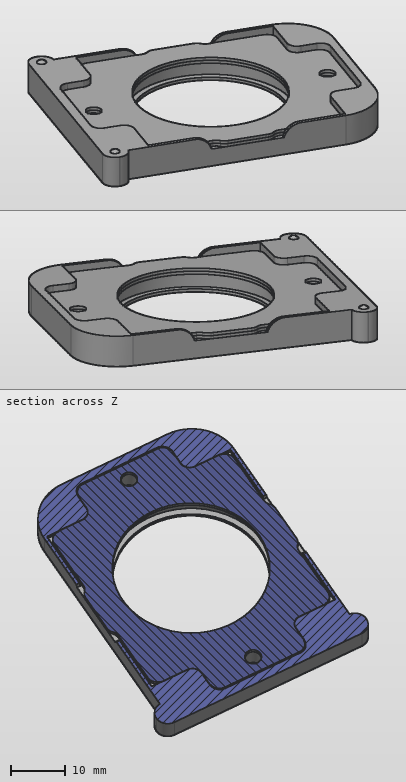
import cadquery as cq


half_width = 20.15
north_end = 28.1
south_end = -28.35
housing_height = 6.0
corner_radius = 9.0

bar_half_width = 22.3
bar_length = 4.95
ear_radius = 2.4
bar_y = south_end + bar_length / 2
dome_x = 19.8
overall_height = 6.45
dome_height = overall_height - housing_height
dome_base_radius = 0.9

floor_z = 3.5
core_half_width = 19.4
core_half_length = 19.25
lobe_half_width = 9.95
lobe_half_length = 26.35
lobe_radius = 2.0

notch_radius = 3.5
notch_half_length_top = 10.4

margin = 0.55

aperture_diameter = 28.9
bore_diameter = 31.4
lip_height = 0.6
screw_hole_diameter = 3.0
screw_hole_y = 22.85

plate_count = 2
stack_height = 1.2
plate_thickness = stack_height / plate_count
plate_half_width = 19.15
plate_lobe_half_length = 26.2
plate_corner_radius = 2.0
tab_half_length_tip = 3.95
tab_half_length_root = 6.5


def box(x_half, y_half, height):
    """Box centred on the aperture axis and standing on z = 0."""
    return cq.Workplane("XY").box(2 * x_half, 2 * y_half, height, centered=(True, True, False))


def cross(core_x, core_y, lobe_y, height):
    """Prism with a wide core and two rounded lobes."""
    lobes = box(lobe_half_width, lobe_y, height).edges("|Z").fillet(lobe_radius)
    inner_corners = cq.selectors.BoxSelector(
        (-lobe_half_width - margin, -core_y - margin, 0),
        (lobe_half_width + margin, core_y + margin, height),
    )
    outline = box(core_x, core_y, height).union(lobes)
    return outline.edges("|Z").edges(inner_corners).fillet(lobe_radius)


def screw_holes(height):
    return (
        cq.Workplane("XY")
        .pushPoints([(0, screw_hole_y), (0, -screw_hole_y)])
        .circle(screw_hole_diameter / 2)
        .extrude(height)
    )


def cylinder(diameter, height):
    return cq.Workplane("XY").circle(diameter / 2).extrude(height)


def finger_notch():
    """Trough along X whose ends are convex arcs tangent to the housing top."""
    arc_center_z = housing_height - notch_radius
    cutter_half_width = half_width + margin
    trough = box(cutter_half_width, notch_half_length_top, housing_height - floor_z)
    trough = trough.translate((0, 0, floor_z))
    for side in (-1, 1):
        rounded_end = (
            cq.Workplane("YZ")
            .center(side * notch_half_length_top, arc_center_z)
            .circle(notch_radius)
            .extrude(cutter_half_width, both=True)
        )
        trough = trough.cut(rounded_end)
    return trough


def dome(x):
    """Sphere sunk into an ear so that only its cap stands proud."""
    sphere_radius = (dome_base_radius**2 + dome_height**2) / (2 * dome_height)
    sphere = cq.Workplane("XY").sphere(sphere_radius)
    return sphere.translate((x, bar_y, overall_height - sphere_radius))


def make_housing():
    block_half_length = (north_end - bar_y) / 2
    block = box(half_width, block_half_length, housing_height)
    block = block.edges("|Z and >Y").fillet(corner_radius)
    block = block.translate((0, bar_y + block_half_length, 0))
    bar = box(bar_half_width, bar_length / 2, housing_height).edges("|Z").fillet(ear_radius)
    body = block.union(bar.translate((0, bar_y, 0)))
    for x in (-dome_x, dome_x):
        body = body.union(dome(x))
    pocket = cross(core_half_width, core_half_length, lobe_half_length, housing_height)
    body = body.cut(pocket.translate((0, 0, floor_z)))
    body = body.cut(finger_notch())
    body = body.cut(cylinder(aperture_diameter, housing_height))
    body = body.cut(cylinder(bore_diameter, housing_height).translate((0, 0, lip_height)))
    return body.cut(screw_holes(housing_height))


def side_tab(side):
    """Tab that fills a notch out to the housing side, flared at its root by S-curves."""
    mid_x = (plate_half_width + half_width) / 2
    mid_y = (tab_half_length_tip + tab_half_length_root) / 2
    north_half = (
        cq.Workplane("XY")
        .lineTo(side * half_width, 0)
        .lineTo(side * half_width, tab_half_length_tip)
        .tangentArcPoint((side * mid_x, mid_y), relative=False)
        .tangentArcPoint((side * plate_half_width, tab_half_length_root), relative=False)
        .lineTo(0, tab_half_length_root)
        .close()
        .extrude(plate_thickness)
    )
    return north_half.union(north_half.mirror("XZ"))


def make_plate(bottom_z):
    plate = cross(plate_half_width, core_half_length, plate_lobe_half_length, plate_thickness)
    plate = plate.edges("|Z and (<X or >X)").fillet(plate_corner_radius)
    for side in (-1, 1):
        plate = plate.union(side_tab(side))
    plate = plate.cut(cylinder(aperture_diameter, plate_thickness))
    plate = plate.cut(screw_holes(plate_thickness))
    return plate.translate((0, 0, bottom_z))


housing = make_housing()
plates = [make_plate(floor_z + level * plate_thickness) for level in range(plate_count)]

result = cq.Compound.makeCompound([housing.val(), *[plate.val() for plate in plates]])